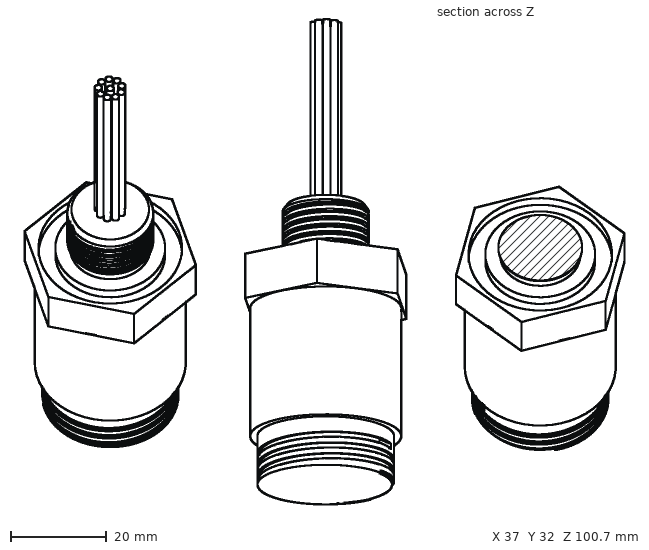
import cadquery as cq
import math

total_height = 100.7
coupling_height = 10.6
body_height = 27.9
hex_height = 9.7
neck_height = 1.8
plug_height = 10.9

body_bottom = coupling_height
hex_bottom = body_bottom + body_height
hex_top = hex_bottom + hex_height
plug_bottom = hex_top + neck_height
plug_top = plug_bottom + plug_height

coupling_diameter = 28.6
hex_across_flats = 32.0
hex_across_corners = hex_across_flats / math.cos(math.pi / 6)
body_diameter = 31.6
neck_diameter = 16.8
plug_diameter = 18.0
plug_top_chamfer = 0.9
plug_top_chamfer_height = 1.2
plug_lead_in = 0.4
plug_lead_in_height = 0.8

recess_outer_diameter = 30.0
recess_inner_diameter = 23.0
recess_depth = 2.2

wire_diameter = 1.5
ring_wire_count = 9
wire_ring_radius = 2.5
wire_embed = 1.0

coupling_thread_turns = 3
coupling_thread_height = 7.0
coupling_groove_width = 1.1
coupling_groove_depth = 0.4
coupling_run_out_depth = 0.7
coupling_thread_start_angle = 180

plug_thread_turns = 5.5
plug_thread_pitch = 1.6
plug_thread_bottom = plug_bottom + 0.6
plug_groove_width = 0.7
plug_groove_root_width = 0.1
plug_groove_depth = 0.5
plug_thread_start_angle = 90

groove_overcut = 0.2


def cylinder(diameter, bottom, top):
    return cq.Workplane("XY").workplane(offset=bottom).circle(diameter / 2).extrude(top - bottom)


def thread_cutters(diameter, width, root_width, depth, run_out_depth, pitch, turns, bottom, start_angle):
    """Right-handed helical groove and the straight slot by which its upper end leaves the surface."""
    radius = diameter / 2
    rim_radius = radius + groove_overcut
    root_radius = radius - depth
    rim_width = width + (width - root_width) * groove_overcut / depth
    height = pitch * turns

    path = cq.Wire.makeHelix(pitch, height, radius)
    groove = (
        cq.Workplane("XZ")
        .polyline(
            [
                (root_radius, -root_width / 2),
                (rim_radius, -rim_width / 2),
                (rim_radius, rim_width / 2),
                (root_radius, root_width / 2),
            ]
        )
        .close()
        .sweep(cq.Workplane(obj=path), isFrenet=True)
    )
    run_out_radius = radius - run_out_depth
    run_out_length = math.sqrt(rim_radius**2 - run_out_radius**2)
    run_out = (
        cq.Workplane("XY")
        .box(rim_radius - run_out_radius, run_out_length, width, centered=(False, False, True))
        .translate((run_out_radius, 0, height))
        .rotate((0, 0, 0), (0, 0, 1), 360 * turns)
    )
    return [
        piece.rotate((0, 0, 0), (0, 0, 1), start_angle).translate((0, 0, bottom))
        for piece in (groove, run_out)
    ]


def make_coupling():
    coupling = cylinder(coupling_diameter, 0, body_bottom)
    cutters = thread_cutters(
        diameter=coupling_diameter,
        width=coupling_groove_width,
        root_width=coupling_groove_width,
        depth=coupling_groove_depth,
        run_out_depth=coupling_run_out_depth,
        pitch=coupling_thread_height / coupling_thread_turns,
        turns=coupling_thread_turns,
        bottom=0,
        start_angle=coupling_thread_start_angle,
    )
    for cutter in cutters:
        coupling = coupling.cut(cutter)
    return coupling


def make_hexagon():
    hexagon = (
        cq.Workplane("XY")
        .workplane(offset=hex_bottom)
        .polygon(6, hex_across_corners)
        .extrude(hex_height)
    )
    recess = (
        cq.Workplane("XY")
        .workplane(offset=hex_top - recess_depth)
        .circle(recess_outer_diameter / 2)
        .circle(recess_inner_diameter / 2)
        .extrude(recess_depth)
    )
    return hexagon.cut(recess)


def make_plug():
    plug = (
        cylinder(plug_diameter, plug_bottom, plug_top)
        .faces(">Z")
        .chamfer(plug_top_chamfer_height, plug_top_chamfer)
        .faces("<Z")
        .chamfer(plug_lead_in_height, plug_lead_in)
    )
    cutters = thread_cutters(
        diameter=plug_diameter,
        width=plug_groove_width,
        root_width=plug_groove_root_width,
        depth=plug_groove_depth,
        run_out_depth=plug_groove_depth,
        pitch=plug_thread_pitch,
        turns=plug_thread_turns,
        bottom=plug_thread_bottom,
        start_angle=plug_thread_start_angle,
    )
    for cutter in cutters:
        plug = plug.cut(cutter)
    return plug


def make_wires():
    bottom = plug_top - wire_embed
    ring = (
        cq.Workplane("XY")
        .workplane(offset=bottom)
        .polarArray(wire_ring_radius, 90, 360, ring_wire_count)
        .circle(wire_diameter / 2)
        .extrude(total_height - bottom)
    )
    return ring.union(cylinder(wire_diameter, bottom, total_height))


body = cylinder(body_diameter, body_bottom, hex_bottom)
neck = cylinder(neck_diameter, hex_top, plug_bottom)

result = (
    make_coupling()
    .union(body)
    .union(make_hexagon())
    .union(neck)
    .union(make_plug())
    .union(make_wires())
)